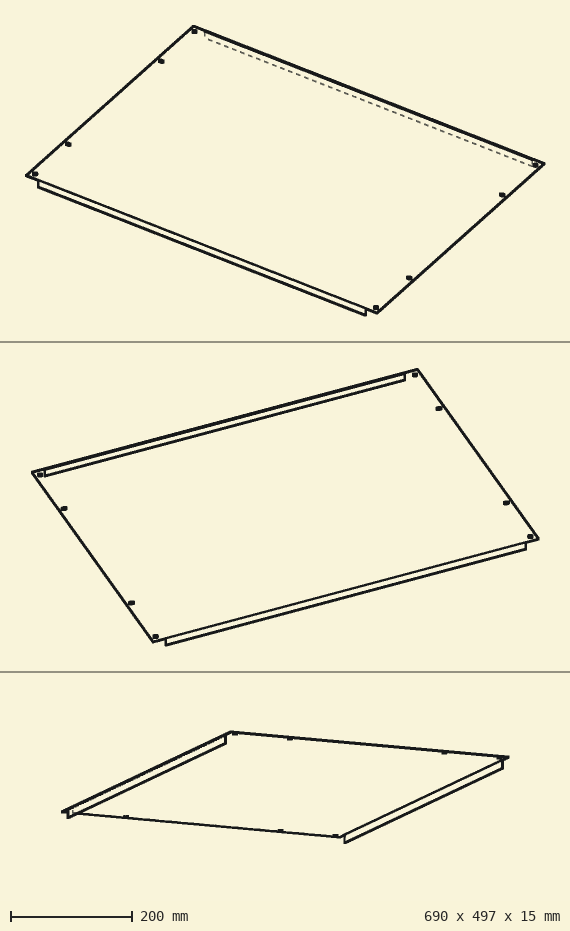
import cadquery as cq

length = 690
width = 497
height = 15.0
thickness = 1.5

flange_end_gap = 23.0
flange_length = length - 2 * flange_end_gap

hole_edge_distance = 10.0
hole_x = length / 2 - hole_edge_distance
corner_hole_diameter = 7.0
corner_hole_side_distance = 12.0
corner_hole_y = width / 2 - corner_hole_side_distance
slot_length = 8.0
slot_width = 5.5
slot_y = 138


def make_panel():
    """Flat sheet forming the top of the part."""
    return cq.Workplane("XY").box(length, width, thickness).translate((0, 0, -thickness / 2))


def make_flange(side):
    """Downward flange along one long edge; side is -1 or 1 along Y."""
    flange = cq.Workplane("XY").box(flange_length, thickness, height)
    return flange.translate((0, side * (width - thickness) / 2, -height / 2))


def mirrored_points(x, y):
    """The four points symmetric about both panel centre lines."""
    return [(side_x * x, side_y * y) for side_x in (-1, 1) for side_y in (-1, 1)]


def make_hole_cutters():
    """Round holes at the corners and slots further along the short edges."""
    base = cq.Workplane("XY", origin=(0, 0, -height))
    corner_points = mirrored_points(hole_x, corner_hole_y)
    slot_points = mirrored_points(hole_x, slot_y)
    rounds = base.pushPoints(corner_points).circle(corner_hole_diameter / 2).extrude(height)
    slots = base.pushPoints(slot_points).slot2D(slot_length, slot_width).extrude(height)
    return rounds.union(slots)


panel = make_panel()
for flange_side in (-1, 1):
    panel = panel.union(make_flange(flange_side))

result = panel.cut(make_hole_cutters())